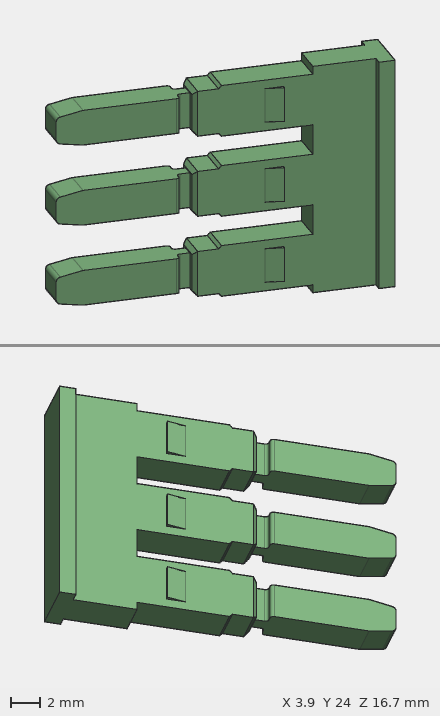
import cadquery as cq
import math


LENGTH = 24.0
HEIGHT = 16.7

FLANGE_WIDTH = 3.9
FLANGE_DEPTH = 1.15
BODY_WIDTH = 2.52
SPINE_END = 5.66

PRONG_COUNT = 3
PRONG_PITCH = 5.9
HOUSING_HEIGHT = 3.75
NOSE_HEIGHT = 3.3
NOSE_START = 12.2
NOSE_STEP = (HOUSING_HEIGHT - NOSE_HEIGHT) / 2
HOUSING_END = 14.2
NOSE_CHAMFER = 0.3

BARB_START = 7.75
BARB_LENGTH = 1.32
BARB_HEIGHT = 2.47
BARB_PROJECTION = 0.25

BLADE_WIDTH = 2.4
BLADE_HEIGHT = 2.57
BLADE_START = 15.15
NECK_WIDTH = 0.94
SHOULDER_RADIUS = 0.25
TAPER_LENGTH = 1.92
TAPER_ANGLE = 10.0
TIP_RADIUS = 0.35


def block(width, start, end, height):
    """Box centred on X and Z, spanning two distances in front of the back face."""
    return cq.Workplane("XY").box(width, end - start, height).translate((0, -(start + end) / 2, 0))


def mirrored_profile(plane, half_outline):
    """Close a half outline of (offset, distance) points with its mirror image."""
    right = [(offset, -distance) for offset, distance in half_outline]
    left = [(-x, y) for x, y in reversed(right)]
    return cq.Workplane(plane).polyline(right + left).close()


def make_spine():
    flange = block(FLANGE_WIDTH, 0, FLANGE_DEPTH, HEIGHT)
    return flange.union(block(BODY_WIDTH, 0, SPINE_END, HEIGHT))


def make_housing():
    """Stepped housing with a chamfered nose."""
    main = block(BODY_WIDTH, 0, NOSE_START + NOSE_STEP, HOUSING_HEIGHT)
    main = main.faces("<Y").edges("|X").chamfer(NOSE_STEP)
    nose = block(BODY_WIDTH, 0, HOUSING_END, NOSE_HEIGHT).faces("<Y").chamfer(NOSE_CHAMFER)
    return main.union(nose)


def make_barbs():
    """Wedges that are thickest at the spine end and fade out towards the blade."""
    half_body = BODY_WIDTH / 2
    outline = [
        (half_body + BARB_PROJECTION, BARB_START),
        (half_body, BARB_START + BARB_LENGTH),
    ]
    return mirrored_profile("XY", outline).extrude(BARB_HEIGHT / 2, both=True)


def make_blade():
    """Blade on a narrow neck, with rounded shoulders and a tapered, rounded tip."""
    half_neck = NECK_WIDTH / 2
    half_blade = BLADE_WIDTH / 2
    plan_outline = [
        (half_neck, SPINE_END),
        (half_neck, BLADE_START),
        (half_blade, BLADE_START),
        (half_blade, LENGTH),
    ]
    plan = mirrored_profile("XY", plan_outline).extrude(BLADE_HEIGHT / 2, both=True)
    shoulder_zone = cq.selectors.BoxSelector(
        (-BLADE_WIDTH, -BLADE_START - SHOULDER_RADIUS, -BLADE_HEIGHT),
        (BLADE_WIDTH, -BLADE_START + SHOULDER_RADIUS, BLADE_HEIGHT),
    )
    plan = plan.edges(shoulder_zone).edges("|Z").fillet(SHOULDER_RADIUS)

    half_height = BLADE_HEIGHT / 2
    half_tip = half_height - TAPER_LENGTH * math.tan(math.radians(TAPER_ANGLE))
    side_outline = [
        (half_height, SPINE_END),
        (half_height, LENGTH - TAPER_LENGTH),
        (half_tip, LENGTH),
    ]
    side_plane = cq.Plane(origin=(0, 0, 0), xDir=(0, 0, 1), normal=(-1, 0, 0))
    side = mirrored_profile(side_plane, side_outline).extrude(BLADE_WIDTH, both=True)
    side = side.faces("<Y").edges("|X").fillet(TIP_RADIUS)
    return plan.intersect(side)


prong = make_housing().union(make_barbs()).union(make_blade())

result = make_spine()
for index in range(PRONG_COUNT):
    prong_z = (index - (PRONG_COUNT - 1) / 2) * PRONG_PITCH
    result = result.union(prong.translate((0, 0, prong_z)))